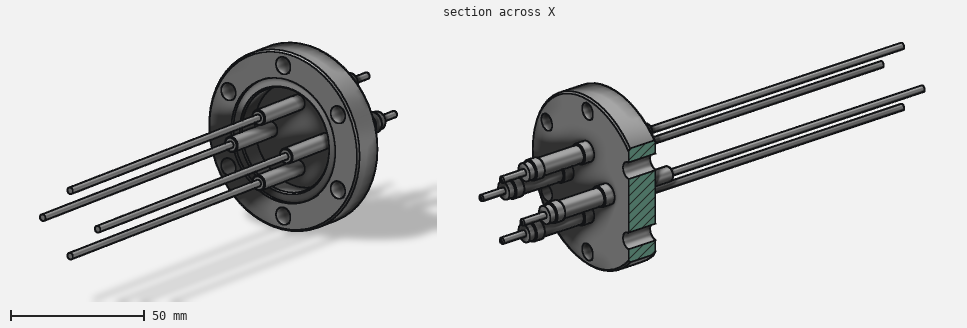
import cadquery as cq

flange_diameter = 70.0
flange_thickness = 12.7
flange_front_y = 40.5
flange_back_y = flange_front_y + flange_thickness
flange_chamfer = 0.7

bolt_count = 6
bolt_circle_diameter = 58.7
bolt_hole_diameter = 6.7

recess_radius = 24.2
recess_depth = 1.5
knife_radius = 20.8
knife_depth = 0.7
bore_radius = 20.2
bore_depth = 9.5

feedthrough_count = 4
feedthrough_circle_radius = 12.7
pin_radius = 1.3
pin_length = 187.5
pin_back_y = pin_length / 2
pin_front_y = -pin_back_y
pin_chamfer = 0.5
front_tube_radius = 3.0
front_tube_y = 24.7
front_tube_chamfer = 0.4
back_tube_radius = 3.5
back_tube_y = 82.9
collar_radius = 4.1
weld_collar_y = 57.7
end_collar_front_y = 76.0
end_collar_back_y = 80.2
collar_chamfer = 0.4


def cylinder(radius, y_start, y_end):
    """Solid cylinder on the Y axis between two stations."""
    plane = cq.Plane(origin=(0, y_start, 0), xDir=(1, 0, 0), normal=(0, 1, 0))
    return cq.Workplane(plane).circle(radius).extrude(y_end - y_start)


def on_circle(radius, count):
    """Workplane at the flange front with points spread evenly from the +Z direction."""
    plane = cq.Plane(origin=(0, flange_front_y, 0), xDir=(0, 0, 1), normal=(0, 1, 0))
    return cq.Workplane(plane).polarArray(radius, 0, 360, count)


def make_flange():
    """Round flange with chamfered rims, bolt holes, and the recess and bore in its front."""
    body = cylinder(flange_diameter / 2, flange_front_y, flange_back_y)
    body = body.edges().chamfer(flange_chamfer)
    bolt_points = on_circle(bolt_circle_diameter / 2, bolt_count)
    bolt_holes = bolt_points.circle(bolt_hole_diameter / 2).extrude(flange_thickness)
    return body.cut(bolt_holes).cut(make_recess())


def make_recess():
    """Volume removed by the bore and the knife-edge recess, revolved about the Y axis."""
    return (
        cq.Workplane("XY")
        .moveTo(0, flange_front_y)
        .lineTo(recess_radius, flange_front_y)
        .lineTo(recess_radius, flange_front_y + recess_depth)
        .lineTo(knife_radius, flange_front_y + knife_depth)
        .lineTo(bore_radius, flange_front_y + recess_depth)
        .lineTo(bore_radius, flange_front_y + bore_depth)
        .lineTo(0, flange_front_y + bore_depth)
        .close()
        .revolve(360, (0, 0, 0), (0, 1, 0))
    )


def make_feedthrough():
    """Pin with its tubes and collars, centred on the Y axis."""
    pin = cylinder(pin_radius, pin_front_y, pin_back_y).faces(">Y").chamfer(pin_chamfer)
    front_tube = cylinder(front_tube_radius, front_tube_y, flange_back_y)
    front_tube = front_tube.faces("<Y").chamfer(front_tube_chamfer)
    back_tube = cylinder(back_tube_radius, flange_back_y, back_tube_y)
    weld_collar = cylinder(collar_radius, flange_back_y, weld_collar_y)
    weld_collar = weld_collar.faces(">Y").chamfer(collar_chamfer)
    end_collar = cylinder(collar_radius, end_collar_front_y, end_collar_back_y)
    end_collar = end_collar.edges().chamfer(collar_chamfer)
    return pin.union(front_tube).union(back_tube).union(weld_collar).union(end_collar)


result = make_flange()
feedthrough = make_feedthrough().translate((0, 0, feedthrough_circle_radius))
for index in range(feedthrough_count):
    angle = index * 360 / feedthrough_count
    result = result.union(feedthrough.rotate((0, 0, 0), (0, 1, 0), angle))